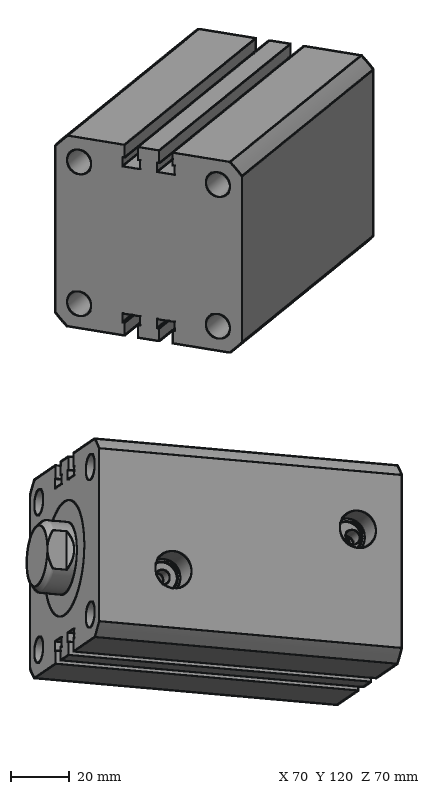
import cadquery as cq
import math


side = 70.0
half_side = side / 2
housing_length = 110.0
corner_cut = 4.5
corner_radius = math.hypot(half_side, half_side - corner_cut)

mount_pitch = 52.0
mount_diameter = 9.0

slot_spacing = 13.0
slot_mouth_width = 5.0
slot_inner_width = 6.6
slot_lip_depth = 4.7
slot_depth = 8.0

bore_diameter = 40.0
bore_floor = 11.1
piston_length = 20.0
piston_chamfer = 3.0
piston_edge_radius = 1.0
piston_end = bore_floor + piston_length
gland_length = 26.0
gland_start = housing_length - gland_length

rod_diameter = 25.0
rod_protrusion = 10.0
rod_end = housing_length + rod_protrusion
rod_chamfer = 2.0
rod_edge_radius = 1.0
flat_width = 21.0
flat_length = 7.0
flat_depth = (rod_diameter - flat_width) / 2

port_mouth_diameter = 13.1
port_root_diameter = 12.2
port_taper_depth = 10.0
port_drill_diameter = 10.4
port_drill_depth = 11.0
passage_diameter = 5.2
port_offset = 10.0
rod_port_y = housing_length - 27.0
head_port_y = 16.0
head_passage_shift = 2.0


def disc(diameter, start, end):
    """Cylinder on the bore axis between two Y positions."""
    return (
        cq.Workplane("XZ", origin=(0, start, 0))
        .circle(diameter / 2)
        .extrude(start - end)
    )


def housing_blank():
    """Square block whose four corners are turned to one arc about the bore axis."""
    block = cq.Workplane("XY").box(side, housing_length, side, centered=(True, False, True))
    return block.intersect(disc(2 * corner_radius, 0, housing_length))


def slot_bar(width, depth, x, face):
    """Bar along Y that cuts a groove of the given width and depth into the +Z or -Z face."""
    return (
        cq.Workplane("XY", origin=(x, housing_length / 2, face * (half_side - depth / 2)))
        .box(width, housing_length, depth)
    )


def t_slots():
    cutters = cq.Workplane("XY")
    inner_depth = slot_depth - slot_lip_depth
    for face in (1, -1):
        for x in (-slot_spacing / 2, slot_spacing / 2):
            mouth = slot_bar(slot_mouth_width, slot_depth, x, face)
            inner = slot_bar(slot_inner_width, inner_depth, x, face).translate((0, 0, -face * slot_lip_depth))
            cutters = cutters.add(mouth.union(inner))
    return cutters.combine()


def mounting_holes():
    return (
        cq.Workplane("XZ")
        .rect(mount_pitch, mount_pitch, forConstruction=True)
        .vertices()
        .circle(mount_diameter / 2)
        .extrude(-housing_length)
    )


def port(y, z, passage_shift):
    """Port cutter that enters from the -X face and reaches the bore."""
    def face_plane(shift=0):
        return cq.Workplane("YZ", origin=(-half_side, y - shift, z))

    taper = (
        face_plane()
        .circle(port_mouth_diameter / 2)
        .workplane(offset=port_taper_depth)
        .circle(port_root_diameter / 2)
        .loft(ruled=True)
    )
    drill = face_plane().circle(port_drill_diameter / 2).extrude(port_drill_depth)
    passage = face_plane(passage_shift).circle(passage_diameter / 2).extrude(half_side)
    return taper.union(drill).union(passage)


def make_housing():
    return (
        housing_blank()
        .cut(t_slots())
        .cut(mounting_holes())
        .cut(disc(bore_diameter, bore_floor, housing_length))
        .cut(port(rod_port_y, -port_offset, 0))
        .cut(port(head_port_y, port_offset, head_passage_shift))
    )


def turned_bar(diameter, start, end, chamfered_end, chamfer, edge_radius):
    """Bar on the bore axis, chamfered at the "<Y" or ">Y" end, with the outer chamfer edge rounded."""
    bar = disc(diameter, start, end).faces(chamfered_end).chamfer(chamfer)
    second_circle_in = chamfered_end[0] + chamfered_end + "[-2]"
    return bar.edges("%CIRCLE").edges(second_circle_in).fillet(edge_radius)


def make_piston():
    return turned_bar(bore_diameter, bore_floor, piston_end, "<Y", piston_chamfer, piston_edge_radius)


def make_gland():
    rod_hole = disc(rod_diameter, gland_start, housing_length)
    return disc(bore_diameter, gland_start, housing_length).cut(rod_hole)


def flat_cutter(direction):
    """Wedge-ended cutter for one wrench flat, which runs out to the rod surface at 45 degrees."""
    flat_x = flat_width / 2
    flat_start = rod_end - flat_length
    return (
        cq.Workplane("XY")
        .moveTo(direction * flat_x, rod_end)
        .lineTo(direction * flat_x, flat_start)
        .lineTo(direction * (flat_x + flat_depth), flat_start - flat_depth)
        .lineTo(direction * (flat_x + flat_depth), rod_end)
        .close()
        .extrude(rod_diameter / 2, both=True)
    )


def make_rod():
    rod = turned_bar(rod_diameter, piston_end, rod_end, ">Y", rod_chamfer, rod_edge_radius)
    for direction in (1, -1):
        rod = rod.cut(flat_cutter(direction))
    return rod


housing = make_housing()
piston = make_piston()
gland = make_gland()
rod = make_rod()

bodies = [housing, piston, gland, rod]
result = cq.Compound.makeCompound([body.solids().val() for body in bodies])